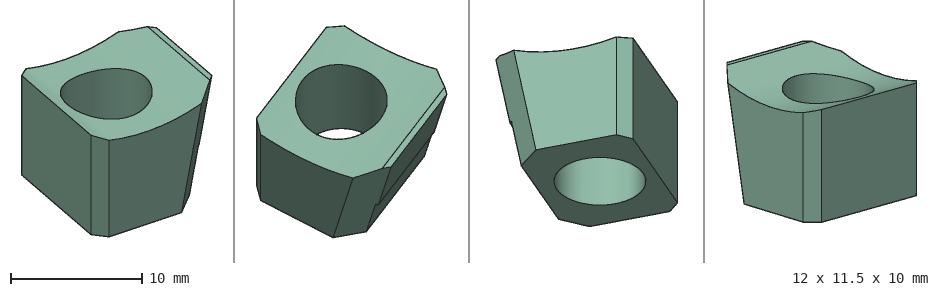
import cadquery as cq
import math

width = 12.0
depth = 11.5
height = 10.0
bore_diameter = 7.0
bore_to_front = 4.5
front_y = -bore_to_front
rear_y = front_y + depth

front_height = 9.0
top_flat = 0.5
saddle_radius = 15.0

lean_angle = 11.0
step_height = 4.13
step_depth = 0.18

front_chamfer = 1.0
rear_chamfer = 2.0

lean = math.tan(math.radians(lean_angle))
lean_cos = math.cos(math.radians(lean_angle))
lean_sin = math.sin(math.radians(lean_angle))


def rear_face_y(z):
    """Y of the unrelieved rear face at height z."""
    return rear_y - (height - z) * lean


def saddle_midpoint(front_end, rear_end):
    """Middle point of the saddle arc, which sags below its chord."""
    dy = rear_end[0] - front_end[0]
    dz = rear_end[1] - front_end[1]
    chord = math.hypot(dy, dz)
    sagitta = saddle_radius - math.sqrt(saddle_radius**2 - (chord / 2) ** 2)
    mid_y = (front_end[0] + rear_end[0]) / 2 + sagitta * dz / chord
    mid_z = (front_end[1] + rear_end[1]) / 2 - sagitta * dy / chord
    return mid_y, mid_z


def make_body():
    """Side profile with leaning rear face and saddle top, extruded across X."""
    saddle_front = (front_y, front_height)
    saddle_rear = (rear_y - top_flat, height)
    return (
        cq.Workplane("YZ")
        .moveTo(front_y, 0)
        .lineTo(rear_face_y(0), 0)
        .lineTo(rear_y, height)
        .lineTo(*saddle_rear)
        .threePointArc(saddle_midpoint(saddle_front, saddle_rear), saddle_front)
        .close()
        .extrude(width / 2, both=True)
    )


def make_outline_prism():
    """Octagonal prism following the lean at the rear, holding all corner chamfers."""
    half_width = width / 2
    rear_chamfer_y = rear_chamfer / lean_cos

    def outline(z):
        right = [
            (half_width - front_chamfer, front_y),
            (half_width, front_y + front_chamfer),
            (half_width, rear_face_y(z) - rear_chamfer_y),
            (half_width - rear_chamfer, rear_face_y(z)),
        ]
        left = [(-x, y) for x, y in reversed(right)]
        return right + left

    return (
        cq.Workplane("XY")
        .polyline(outline(0))
        .close()
        .workplane(offset=height)
        .polyline(outline(height))
        .close()
        .loft(ruled=True)
    )


def make_rear_relief():
    """Shallow layer removed from the rear face below the step, square to the face."""
    step_edge = (rear_face_y(step_height), step_height)
    inner_corner = (
        step_edge[0] - step_depth * lean_cos,
        step_edge[1] + step_depth * lean_sin,
    )
    inner_bottom = (inner_corner[0] - inner_corner[1] * lean, 0)
    return (
        cq.Workplane("YZ")
        .polyline([step_edge, inner_corner, inner_bottom, (rear_face_y(0), 0)])
        .close()
        .extrude(width / 2, both=True)
    )


def make_bore():
    """Plain cylinder through the full height."""
    return cq.Workplane("XY").circle(bore_diameter / 2).extrude(height)


result = make_body().intersect(make_outline_prism()).cut(make_rear_relief()).cut(make_bore())